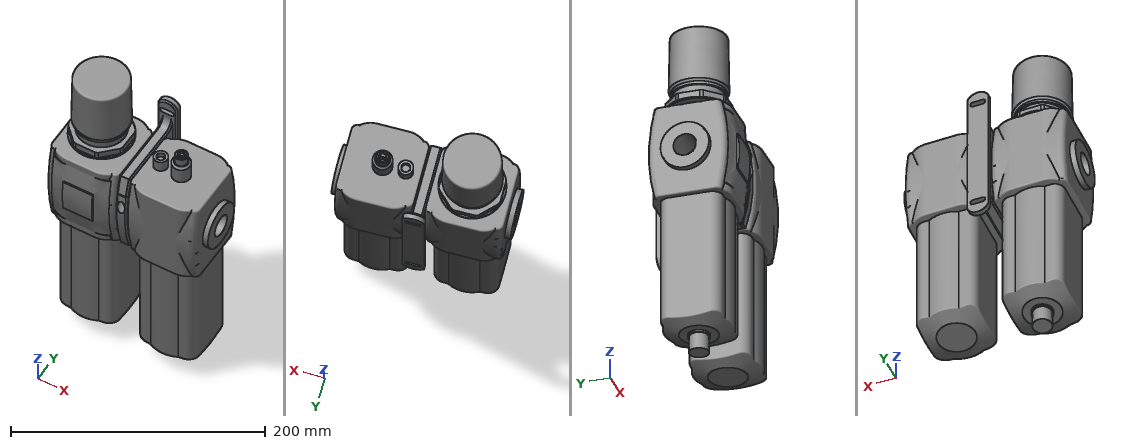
import cadquery as cq
import math

HEAD_WIDTH = 63.0
HEAD_HEIGHT = 79.5
HEAD_HALF_DEPTH = 32.7
HEAD_BOW = 5.0
HEAD_FLAT_HALF = 13.7
HEAD_CORNER_RADIUS = 5.0
HEAD_EDGE = 1.5
UNIT_GAP = 10.0

PORT_DIAMETER = 40.0
PORT_BORE = 18.7
PORT_LENGTH = 4.9
PORT_BORE_DEPTH = 28.0

BOWL_WIDTH = 52.5
BOWL_DEPTH = 51.2
BOWL_CORNER_RADIUS = 8.7
BOWL_BARREL_DIAMETER = 57.0
BOWL_BOTTOM = -151.5
BOWL_BOTTOM_RADIUS = 16.0
BOWL_BOTTOM_SLOPE = 0.33
BOWL_BOTTOM_EDGE = 1.0

DRAIN_BOTTOM = -167.2
DRAIN_DIAMETER = 16.0
DRAIN_COLLAR_DIAMETER = 18.0
DRAIN_COLLAR_HEIGHT = 1.7

KNOB_TOP = 112.5
KNOB_TOP_DIAMETER = 46.5
KNOB_LOW_DIAMETER = 48.0
KNOB_TOP_EDGE = 1.7
KNOB_BOTTOM = 65.5
KNOB_RING_DIAMETER = 45.0
KNOB_RING_TOP = 63.5
KNOB_RING_BOTTOM = 61.0
NECK_DIAMETER = 42.0
NUT_FLATS = 50.0
NUT_DIAMETER = 53.0
NUT_TOP = 53.0
NUT_BOTTOM = 47.0
NUT_SIDES = 8
WASHER_DIAMETER = 53.7
WASHER_THICKNESS = 1.5

PAD_HALF_WIDTH = 13.5
PAD_HALF_HEIGHT = 15.5
PAD_EDGE_DEPTH = 36.5
PAD_CROWN_DEPTH = 37.8
PAD_STEP = 1.0
PAD_INNER_HALF = 6.7
BULGE_HALF_HEIGHT = 33.0
BULGE_HALF_WIDTH = 26.3
BULGE_ROOT = 2.8
BULGE_RIM_DEPTH = 32.0

FILLER_X = 17.5
FILLER_DIAMETER = 12.0
FILLER_SOCKET = 7.3
FILLER_SOCKET_DEPTH = 4.2
FILLER_TOP = 50.0
DOME_DIAMETER = 16.0
DOME_TOP = 56.2
DOME_EDGE = 2.0
DOME_STEM_DIAMETER = 10.5
DOME_STEM_TOP = 64.3
DOME_SOCKET = 6.0
DOME_SOCKET_DEPTH = 2.2
DOME_STEM_EDGE = 0.8
DOME_SLOT_LENGTH = 4.5
DOME_SLOT_WIDTH = 0.8
DOME_SLOT_DEPTH = 1.5

PLATE_WIDTH = 18.0
PLATE_BACK = 44.5
PLATE_THICKNESS = 5.5
PLATE_HALF_HEIGHT = 66.5
PLATE_END_RISE = 6.2
PLATE_CORNER_RADIUS = 2.2
PLATE_EDGE = 1.5
SLOT_LENGTH = 12.5
SLOT_WIDTH = 4.8
SLOT_Z = 54.5
WEB_WIDTH = UNIT_GAP
WEB_FILLET = 8.5
WEB_EDGE = 1.5
LIP_Z = 24.0
LIP_BOTTOM_Z = 22.7
LIP_DEPTH = 30.5
STRAP_MID_DEPTH = 31.5
STRAP_END_DEPTH = 25.5
STRAP_THICKNESS = 8.5
SCREW_HOLE = 6.7
SCREW_Z = 8.7
SCREW_TILT = 54.0

HALF_HEIGHT = HEAD_HEIGHT / 2
HEAD_HALF_WIDTH = HEAD_WIDTH / 2
UNIT_X = UNIT_GAP / 2 + HEAD_HALF_WIDTH
SHOULDER_X = HEAD_HALF_WIDTH - HEAD_CORNER_RADIUS
END_DEPTH = HEAD_HALF_DEPTH - HEAD_BOW
BOW_RADIUS = (HALF_HEIGHT**2 + HEAD_BOW**2) / (2 * HEAD_BOW)
PLATE_FRONT = PLATE_BACK - PLATE_THICKNESS


def bow_depth(z):
    """Half depth of the bowed head surface at height z."""
    return HEAD_HALF_DEPTH - BOW_RADIUS + math.sqrt(BOW_RADIUS**2 - z**2)


def cylinder(diameter, bottom, top):
    return cq.Workplane("XY").workplane(offset=bottom).circle(diameter / 2).extrude(top - bottom)


def bowed_block():
    """Block whose front and back are bowed over its height, with rounded upright corners."""
    profile = (
        cq.Workplane("YZ", origin=(-HEAD_HALF_WIDTH, 0, 0))
        .moveTo(-END_DEPTH, -HALF_HEIGHT)
        .lineTo(END_DEPTH, -HALF_HEIGHT)
        .threePointArc((HEAD_HALF_DEPTH, 0), (END_DEPTH, HALF_HEIGHT))
        .lineTo(-END_DEPTH, HALF_HEIGHT)
        .threePointArc((-HEAD_HALF_DEPTH, 0), (-END_DEPTH, -HALF_HEIGHT))
        .close()
    )
    block = profile.extrude(HEAD_WIDTH)
    return block.faces("<X or >X").edges("%CIRCLE").fillet(HEAD_CORNER_RADIUS)


def crowned_prism():
    """Upright prism with a flat strip on front and back that curves away to the shoulders.

    Beyond the shoulders its narrowed ends lie inside the bowed block.
    """
    buried_x = SHOULDER_X + HEAD_CORNER_RADIUS / 2
    buried_y = END_DEPTH - HEAD_CORNER_RADIUS / 2
    middle_x = (HEAD_FLAT_HALF + SHOULDER_X) / 2
    middle_y = HEAD_HALF_DEPTH - HEAD_BOW / 4
    return (
        cq.Workplane("XY", origin=(0, 0, -HALF_HEIGHT))
        .moveTo(-HEAD_FLAT_HALF, HEAD_HALF_DEPTH)
        .lineTo(HEAD_FLAT_HALF, HEAD_HALF_DEPTH)
        .threePointArc((middle_x, middle_y), (SHOULDER_X, END_DEPTH))
        .lineTo(buried_x, buried_y)
        .lineTo(buried_x, -buried_y)
        .lineTo(SHOULDER_X, -END_DEPTH)
        .threePointArc((middle_x, -middle_y), (HEAD_FLAT_HALF, -HEAD_HALF_DEPTH))
        .lineTo(-HEAD_FLAT_HALF, -HEAD_HALF_DEPTH)
        .threePointArc((-middle_x, -middle_y), (-SHOULDER_X, -END_DEPTH))
        .lineTo(-buried_x, -buried_y)
        .lineTo(-buried_x, buried_y)
        .lineTo(-SHOULDER_X, END_DEPTH)
        .threePointArc((-middle_x, middle_y), (-HEAD_FLAT_HALF, HEAD_HALF_DEPTH))
        .close()
        .extrude(HEAD_HEIGHT)
    )


def head():
    """Union of both shapes; they cross along slanted creases on front and back."""
    block = bowed_block().faces("<Z or >Z").edges().fillet(HEAD_EDGE)
    prism = crowned_prism().faces("<Z or >Z").edges().fillet(HEAD_EDGE)
    return block.union(prism)


def bowl():
    """Rounded square bowl with a barrel swelling on front and back and a coned bottom."""
    top = -HALF_HEIGHT
    height = top - BOWL_BOTTOM
    base = cq.Workplane("XY").workplane(offset=BOWL_BOTTOM)
    square = base.rect(BOWL_WIDTH, BOWL_DEPTH).extrude(height).edges("|Z").fillet(BOWL_CORNER_RADIUS)
    barrel = base.circle(BOWL_BARREL_DIAMETER / 2).extrude(height)
    barrel = barrel.intersect(base.rect(BOWL_WIDTH, 2 * BOWL_DEPTH).extrude(height))
    outer_radius = BOWL_WIDTH
    cone_rise = (outer_radius - BOWL_BOTTOM_RADIUS) * BOWL_BOTTOM_SLOPE
    envelope = (
        cq.Workplane("XZ")
        .moveTo(0, BOWL_BOTTOM)
        .lineTo(BOWL_BOTTOM_RADIUS, BOWL_BOTTOM)
        .lineTo(outer_radius, BOWL_BOTTOM + cone_rise)
        .lineTo(outer_radius, top)
        .lineTo(0, top)
        .close()
        .revolve()
    )
    body = square.union(barrel).intersect(envelope)
    return body.faces("%CONE").edges("not <Z").fillet(BOWL_BOTTOM_EDGE)


def add_port(unit, side):
    """Add the port boss and its blind bore on the -X (side=-1) or +X (side=1) face."""
    face_x = side * HEAD_HALF_WIDTH
    plane = cq.Plane(origin=(face_x, 0, 0), xDir=(0, 1, 0), normal=(side, 0, 0))
    boss = cq.Workplane(plane).circle(PORT_DIAMETER / 2).extrude(PORT_LENGTH)
    bore = (
        cq.Workplane(plane)
        .workplane(offset=PORT_LENGTH)
        .circle(PORT_BORE / 2)
        .extrude(-PORT_BORE_DEPTH)
    )
    return unit.union(boss).cut(bore)


def gauge_bulge():
    """Bulge whose ruled flanks rise from a curved rim on the front to the edge of the gauge pad."""
    crest = PAD_EDGE_DEPTH - PAD_STEP
    back = END_DEPTH - BULGE_ROOT
    corner_depth = bow_depth(BULGE_HALF_HEIGHT)
    arc_x = (HEAD_FLAT_HALF + BULGE_HALF_WIDTH) / 2
    faces = []

    def line(start, end):
        return cq.Edge.makeLine(cq.Vector(*start), cq.Vector(*end))

    def arc(start, middle, end):
        return cq.Edge.makeThreePointArc(cq.Vector(*start), cq.Vector(*middle), cq.Vector(*end))

    def flat_face(*edges):
        faces.append(cq.Face.makeFromWires(cq.Wire.assembleEdges(edges)))

    def polygon_face(*points):
        wire = cq.Wire.makePolygon([cq.Vector(*point) for point in points], close=True)
        faces.append(cq.Face.makeFromWires(wire))

    def ruled_face(rim, crest_edge):
        faces.append(cq.Face.makeRuledSurface(rim, crest_edge))

    def rim(x, z):
        return (x, -HEAD_HALF_DEPTH, z)

    def corner(side, end):
        return (side * BULGE_HALF_WIDTH, -corner_depth, end * BULGE_HALF_HEIGHT)

    def base(side, end):
        return (side * BULGE_HALF_WIDTH, -back, end * BULGE_HALF_HEIGHT)

    def pad(x, end):
        return (x, -crest, end * PAD_HALF_HEIGHT)

    polygon_face(base(-1, -1), base(1, -1), base(1, 1), base(-1, 1))
    pad_xs = (-PAD_HALF_WIDTH, -PAD_INNER_HALF, PAD_INNER_HALF, PAD_HALF_WIDTH)
    polygon_face(*[pad(x, -1) for x in pad_xs], *[pad(x, 1) for x in reversed(pad_xs)])

    for side in (-1, 1):
        bow = arc(corner(side, -1), (side * BULGE_HALF_WIDTH, -HEAD_HALF_DEPTH, 0), corner(side, 1))
        ruled_face(bow, line(pad(side * PAD_HALF_WIDTH, -1), pad(side * PAD_HALF_WIDTH, 1)))
        flat_face(
            bow,
            line(corner(side, 1), base(side, 1)),
            line(base(side, 1), base(side, -1)),
            line(base(side, -1), corner(side, -1)),
        )

    for end in (-1, 1):
        z = end * BULGE_HALF_HEIGHT
        left_flat = rim(-HEAD_FLAT_HALF, z)
        right_flat = rim(HEAD_FLAT_HALF, z)
        left_arc = arc(left_flat, (-arc_x, -BULGE_RIM_DEPTH, z), corner(-1, end))
        right_arc = arc(right_flat, (arc_x, -BULGE_RIM_DEPTH, z), corner(1, end))
        polygon_face(left_flat, right_flat, pad(PAD_INNER_HALF, end), pad(-PAD_INNER_HALF, end))
        ruled_face(left_arc, line(pad(-PAD_INNER_HALF, end), pad(-PAD_HALF_WIDTH, end)))
        ruled_face(right_arc, line(pad(PAD_INNER_HALF, end), pad(PAD_HALF_WIDTH, end)))
        flat_face(
            left_arc,
            line(left_flat, right_flat),
            right_arc,
            line(corner(1, end), base(1, end)),
            line(base(1, end), base(-1, end)),
            line(base(-1, end), corner(-1, end)),
        )

    shell = cq.Shell.makeShell(faces)
    return cq.Workplane(cq.Solid.makeSolid(shell).fix())


def gauge_pad():
    return (
        cq.Workplane("YZ", origin=(-PAD_HALF_WIDTH, 0, 0))
        .moveTo(-END_DEPTH, -PAD_HALF_HEIGHT)
        .lineTo(-PAD_EDGE_DEPTH, -PAD_HALF_HEIGHT)
        .threePointArc((-PAD_CROWN_DEPTH, 0), (-PAD_EDGE_DEPTH, PAD_HALF_HEIGHT))
        .lineTo(-END_DEPTH, PAD_HALF_HEIGHT)
        .close()
        .extrude(2 * PAD_HALF_WIDTH)
    )


def knob():
    """Adjusting knob on its neck, as one turned shape."""
    top_radius = KNOB_TOP_DIAMETER / 2
    low_radius = KNOB_LOW_DIAMETER / 2
    ring_radius = KNOB_RING_DIAMETER / 2
    neck_radius = NECK_DIAMETER / 2
    turned = (
        cq.Workplane("XZ")
        .moveTo(0, HALF_HEIGHT)
        .lineTo(neck_radius, HALF_HEIGHT)
        .lineTo(neck_radius, KNOB_RING_BOTTOM)
        .lineTo(ring_radius, KNOB_RING_BOTTOM)
        .lineTo(ring_radius, KNOB_RING_TOP)
        .lineTo(low_radius, KNOB_BOTTOM)
        .lineTo(top_radius, KNOB_TOP)
        .lineTo(0, KNOB_TOP)
        .close()
        .revolve()
    )
    return turned.faces(">Z").edges().fillet(KNOB_TOP_EDGE)


def panel_nut():
    """Octagonal nut with rounded-off corners and a thin washer below it."""
    across_corners = NUT_FLATS / math.cos(math.pi / NUT_SIDES)
    octagon = (
        cq.Workplane("XY")
        .workplane(offset=NUT_BOTTOM)
        .transformed(rotate=(0, 0, 180 / NUT_SIDES))
        .polygon(NUT_SIDES, across_corners)
        .extrude(NUT_TOP - NUT_BOTTOM)
    )
    nut = octagon.intersect(cylinder(NUT_DIAMETER, NUT_BOTTOM, NUT_TOP))
    return nut.union(cylinder(WASHER_DIAMETER, NUT_BOTTOM - WASHER_THICKNESS, NUT_BOTTOM))


def drain():
    collar = cylinder(DRAIN_COLLAR_DIAMETER, BOWL_BOTTOM - DRAIN_COLLAR_HEIGHT, BOWL_BOTTOM)
    return collar.union(cylinder(DRAIN_DIAMETER, DRAIN_BOTTOM, BOWL_BOTTOM))


def make_filter_regulator():
    unit = head().union(gauge_bulge()).union(gauge_pad()).union(bowl()).union(drain())
    unit = unit.union(knob()).union(panel_nut())
    return add_port(unit, -1).translate((-UNIT_X, 0, 0))


def filler_screw():
    screw = cylinder(FILLER_DIAMETER, HALF_HEIGHT, FILLER_TOP)
    socket = cylinder(FILLER_SOCKET, FILLER_TOP - FILLER_SOCKET_DEPTH, FILLER_TOP)
    return screw.cut(socket).translate((FILLER_X - UNIT_X, 0, 0))


def drip_adjuster():
    sleeve = cylinder(DOME_DIAMETER, HALF_HEIGHT, DOME_TOP).faces(">Z").chamfer(DOME_EDGE)
    stem = cylinder(DOME_STEM_DIAMETER, HALF_HEIGHT, DOME_STEM_TOP)
    stem = stem.faces(">Z").chamfer(DOME_STEM_EDGE)
    socket_floor = DOME_STEM_TOP - DOME_SOCKET_DEPTH
    socket = cylinder(DOME_SOCKET, socket_floor, DOME_STEM_TOP)
    slot = (
        cq.Workplane("XY")
        .workplane(offset=socket_floor)
        .rect(DOME_SLOT_LENGTH, DOME_SLOT_WIDTH)
        .extrude(-DOME_SLOT_DEPTH)
    )
    return sleeve.union(stem).cut(socket).cut(slot)


def make_lubricator():
    unit = head().union(bowl()).union(filler_screw()).union(drip_adjuster())
    return add_port(unit, 1).translate((UNIT_X, 0, 0))


def wall_plate():
    """Upright plate with arched ends, softened front edge and a slot at each end."""
    half = PLATE_WIDTH / 2
    shoulder = PLATE_HALF_HEIGHT - PLATE_END_RISE
    plate = (
        cq.Workplane("XZ", origin=(0, PLATE_BACK, 0))
        .moveTo(-half, -shoulder)
        .threePointArc((0, -PLATE_HALF_HEIGHT), (half, -shoulder))
        .lineTo(half, shoulder)
        .threePointArc((0, PLATE_HALF_HEIGHT), (-half, shoulder))
        .close()
        .extrude(PLATE_THICKNESS)
        .edges("|Y")
        .fillet(PLATE_CORNER_RADIUS)
        .faces("<Y")
        .edges()
        .chamfer(PLATE_EDGE)
    )
    slots = (
        cq.Workplane("XZ", origin=(0, PLATE_BACK, 0))
        .pushPoints([(0, -SLOT_Z), (0, SLOT_Z)])
        .slot2D(SLOT_LENGTH, SLOT_WIDTH)
        .extrude(PLATE_THICKNESS)
    )
    return plate.cut(slots)


def web():
    """Full web between the heads, flared into the plate, with a lip at its upper front."""
    root = PLATE_FRONT - WEB_FILLET
    flare = HALF_HEIGHT + WEB_FILLET
    bend = WEB_FILLET * math.sqrt(0.5)
    return (
        cq.Workplane("YZ", origin=(-WEB_WIDTH / 2, 0, 0))
        .moveTo(PLATE_FRONT, -flare)
        .threePointArc((root + bend, -flare + bend), (root, -HALF_HEIGHT))
        .lineTo(-STRAP_END_DEPTH, -HALF_HEIGHT)
        .threePointArc((-STRAP_MID_DEPTH, 0), (-STRAP_END_DEPTH, HALF_HEIGHT))
        .lineTo(root, HALF_HEIGHT)
        .threePointArc((root + bend, flare - bend), (PLATE_FRONT, flare))
        .close()
        .extrude(WEB_WIDTH)
        .faces("<X or >X")
        .edges("not >Y")
        .chamfer(WEB_EDGE)
    )


def lip():
    """Hook that leans forward down to the parting with the clamp strap."""
    width = WEB_WIDTH - 2 * WEB_EDGE
    return (
        cq.Workplane("YZ", origin=(-width / 2, 0, 0))
        .moveTo(-STRAP_END_DEPTH, HALF_HEIGHT)
        .lineTo(-LIP_DEPTH, LIP_Z)
        .lineTo(-LIP_DEPTH, LIP_BOTTOM_Z)
        .lineTo(-STRAP_END_DEPTH, LIP_BOTTOM_Z)
        .close()
        .extrude(width)
    )


def strap_space():
    """Front lower region of the web that the clamp strap fills."""
    height = HALF_HEIGHT + LIP_BOTTOM_Z
    return (
        cq.Workplane("XY")
        .box(WEB_WIDTH, STRAP_THICKNESS, height, centered=(True, False, False))
        .translate((0, -STRAP_MID_DEPTH, -HALF_HEIGHT))
    )


def make_bracket():
    return wall_plate().union(web()).union(lip()).cut(strap_space())


def make_clamp_strap():
    """Front strap with an inclined screw hole rising inwards."""
    tilt = math.radians(SCREW_TILT)
    axis = cq.Vector(0, math.cos(tilt), math.sin(tilt))
    reach = STRAP_THICKNESS / math.cos(tilt) + SCREW_HOLE
    start = cq.Vector(0, -STRAP_MID_DEPTH, SCREW_Z) - axis * reach
    hole = cq.Solid.makeCylinder(SCREW_HOLE / 2, 2 * reach, start, axis)
    return web().intersect(strap_space()).cut(cq.Workplane(hole))


filter_regulator = make_filter_regulator()
lubricator = make_lubricator()
bracket = make_bracket()
clamp_strap = make_clamp_strap()

result = cq.Compound.makeCompound(
    [filter_regulator.val(), lubricator.val(), bracket.val(), clamp_strap.val()]
)